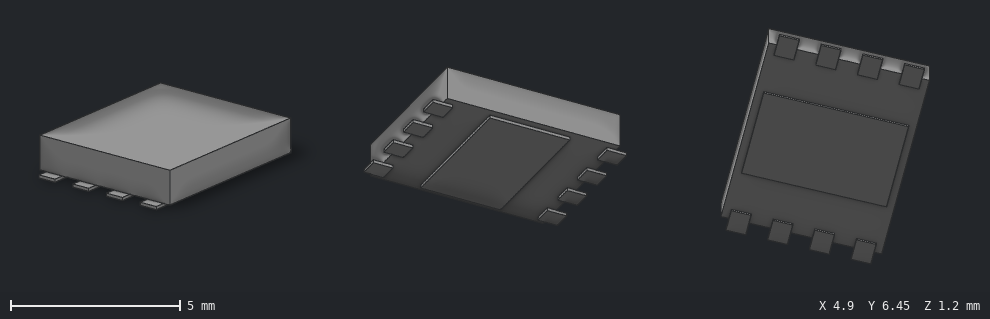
import cadquery as cq

overall_length = 6.45
overall_height = 1.2
body_width = 4.9
body_length = 5.76
lead_thickness = 0.1
lead_width = 0.605
lead_length = 0.65
lead_pitch = 1.27
leads_per_side = 4
pad_length = 2.66

body_height = overall_height - lead_thickness
lead_row_width = (leads_per_side - 1) * lead_pitch + lead_width
pad_width = lead_row_width
lead_center_y = (overall_length - lead_length) / 2


def block(width, length, height, center_x, center_y, bottom_z):
    """Box centred in X and Y that stands on bottom_z."""
    return (
        cq.Workplane("XY", origin=(center_x, center_y, bottom_z))
        .box(width, length, height, centered=(True, True, False))
    )


def make_body():
    """Plain package body resting on the leads and the thermal pad."""
    return block(body_width, body_length, body_height, 0, 0, lead_thickness)


def make_thermal_pad():
    """Flat pad under the middle of the body, as wide as a row of leads."""
    return block(pad_width, pad_length, lead_thickness, 0, 0, 0)


def make_lead(center_x, center_y):
    """Flat lead that reaches out from under the body."""
    return block(lead_width, lead_length, lead_thickness, center_x, center_y, 0)


body = make_body()
thermal_pad = make_thermal_pad()

leads = []
for side in (-1, 1):
    for index in range(leads_per_side):
        lead_x = (index - (leads_per_side - 1) / 2) * lead_pitch
        leads.append(make_lead(lead_x, side * lead_center_y).val())

result = cq.Compound.makeCompound([body.val(), thermal_pad.val(), *leads])